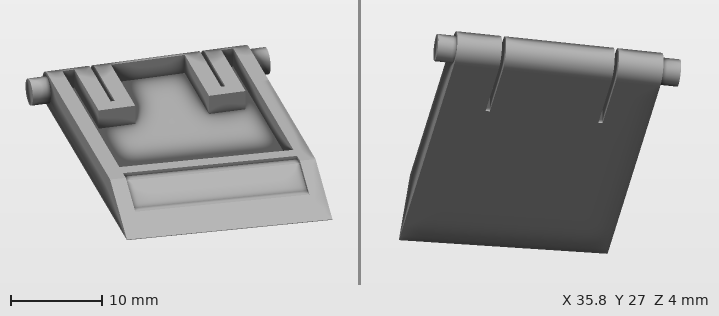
import cadquery as cq
import math

length = 35.82
thickness = 4.0
width = 22.92
skew_run = 1.55
tip_thickness = 0.07
bevel_slope = math.tan(math.radians(30))

hinge_radius = thickness / 2
pin_diameter = 3.0
pin_span = 27.0

side_wall = 1.75
pocket_start = 1.9
pocket_depth = 2.25
pocket_to_ridge = 2.6

slot_offset = 6.27
slot_width = 0.45
slot_end = 10.05
pad_width = 4.15
pad_end = 11.75

groove_start = -1.15
groove_step = -0.2
groove_foot = 2.85
groove_end = 3.85

half_width = width / 2
pocket_half_width = half_width - side_wall
bevel_run = (thickness - tip_thickness) / bevel_slope
ridge_x = length - bevel_run
skew = skew_run / width


def skewed_x(x, y):
    """Shift a +Y side position along the skew of the tip edge."""
    return x - skew * (half_width - y)


def skewed_prism(profile, half_span):
    """Ruled solid from an XZ profile that follows the tip skew between -half_span and +half_span."""
    sections = []
    for y in (-half_span, half_span):
        corners = [cq.Vector(skewed_x(x, y), y, z) for x, z in profile]
        sections.append(cq.Wire.makePolygon(corners, close=True))
    return cq.Workplane(obj=cq.Solid.makeLoft(sections, True))


def box_between(x_min, x_max, y_center, y_size, height):
    """Box standing on the bottom plane."""
    box = cq.Workplane().box(x_max - x_min, y_size, height, centered=(False, True, False))
    return box.translate((x_min, y_center, 0))


def cylinder_along_y(radius, span):
    """Cylinder on the hinge axis, centred on the plate."""
    plane = cq.Workplane("XZ").center(hinge_radius, hinge_radius)
    return plane.circle(radius).extrude(span / 2, both=True)


def make_plate():
    front_profile = [
        (ridge_x, thickness),
        (length, tip_thickness),
        (length, 0),
        (ridge_x, 0),
    ]
    bevel = skewed_prism(front_profile, half_width)
    outline = [
        (hinge_radius, -half_width),
        (skewed_x(ridge_x, -half_width), -half_width),
        (ridge_x, half_width),
        (hinge_radius, half_width),
    ]
    slab = cq.Workplane().polyline(outline).close().extrude(thickness)
    return slab.union(bevel).union(cylinder_along_y(hinge_radius, width))


def make_pocket():
    end_x = ridge_x - pocket_to_ridge
    outline = [
        (pocket_start, -pocket_half_width),
        (skewed_x(end_x, -pocket_half_width), -pocket_half_width),
        (skewed_x(end_x, pocket_half_width), pocket_half_width),
        (pocket_start, pocket_half_width),
    ]
    floor = cq.Workplane("XY", origin=(0, 0, thickness - pocket_depth))
    pocket = floor.polyline(outline).close().extrude(pocket_depth)
    for side in (-1, 1):
        pocket = pocket.cut(box_between(pocket_start, pad_end, side * slot_offset, pad_width, thickness))
    return pocket


def make_groove():
    ledge_z = thickness - groove_end * bevel_slope
    step_z = ledge_z + (groove_foot - groove_step) * bevel_slope
    profile = [
        (ridge_x + groove_start, thickness),
        (ridge_x + groove_start, step_z),
        (ridge_x + groove_step, step_z),
        (ridge_x + groove_foot, ledge_z),
        (ridge_x + groove_end, ledge_z),
        (ridge_x + groove_end, thickness),
    ]
    return skewed_prism(profile, pocket_half_width)


result = make_plate().union(cylinder_along_y(pin_diameter / 2, pin_span))
result = result.cut(make_pocket()).cut(make_groove())
for side in (-1, 1):
    result = result.cut(box_between(0, slot_end, side * slot_offset, slot_width, thickness))